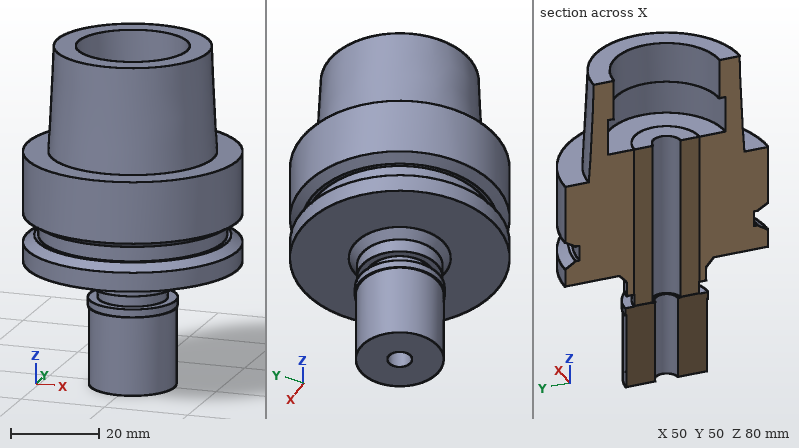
import cadquery as cq

top_z = 80.0
shoulder_z = 55.0
groove_top_z = 40.5
groove_wall_top_z = 39.0
groove_wall_bottom_z = 35.3
groove_bottom_z = 33.6
flange_bottom_z = 29.1
hub_cone_bottom_z = 27.0
hub_bottom_z = 23.5
shank_top_z = 20.6
shank_rim_bottom_z = 18.6

taper_top_radius = 18.0
taper_base_radius = 19.2
flange_radius = 25.0
groove_edge_radius = 22.4
groove_radius = 21.5
hub_cone_radius = 11.6
hub_radius = 9.8

entry_radius = 13.0
entry_depth = 10.0
chamber_radius = 14.4
cavity_depth = 18.8
entry_bottom_z = top_z - entry_depth
cavity_floor_z = top_z - cavity_depth

spindle_radius = 8.0
spindle_hole_radius = 3.4
shank_rim_radius = 10.2
shank_radius = 10.0
shank_hole_radius = 2.8


def revolve_profile(points):
    """Revolve a closed (radius, z) outline about the Z axis."""
    profile = cq.Workplane("XZ").polyline(points).close()
    return profile.revolve(360, (0, 0, 0), (0, 1, 0))


def make_housing():
    """Hollow taper, grooved flange and lower hub, bored for the spindle."""
    return revolve_profile([
        (entry_radius, top_z),
        (taper_top_radius, top_z),
        (taper_base_radius, shoulder_z),
        (flange_radius, shoulder_z),
        (flange_radius, groove_top_z),
        (groove_edge_radius, groove_wall_top_z),
        (groove_radius, groove_wall_top_z),
        (groove_radius, groove_wall_bottom_z),
        (groove_edge_radius, groove_wall_bottom_z),
        (flange_radius, groove_bottom_z),
        (flange_radius, flange_bottom_z),
        (hub_cone_radius, flange_bottom_z),
        (hub_radius, hub_cone_bottom_z),
        (hub_radius, hub_bottom_z),
        (spindle_radius, hub_bottom_z),
        (spindle_radius, cavity_floor_z),
        (chamber_radius, cavity_floor_z),
        (chamber_radius, entry_bottom_z),
        (entry_radius, entry_bottom_z),
    ])


def make_spindle():
    """Hollow spindle from the cavity floor down to the top of the shank."""
    return revolve_profile([
        (spindle_hole_radius, shank_top_z),
        (spindle_radius, shank_top_z),
        (spindle_radius, cavity_floor_z),
        (spindle_hole_radius, cavity_floor_z),
    ])


def make_shank():
    """Bottom shank with a slightly wider rim and a through hole."""
    return revolve_profile([
        (shank_hole_radius, 0),
        (shank_radius, 0),
        (shank_radius, shank_rim_bottom_z),
        (shank_rim_radius, shank_rim_bottom_z),
        (shank_rim_radius, shank_top_z),
        (shank_hole_radius, shank_top_z),
    ])


housing = make_housing()
spindle = make_spindle()
shank = make_shank()

result = cq.Compound.makeCompound([housing.val(), spindle.val(), shank.val()])